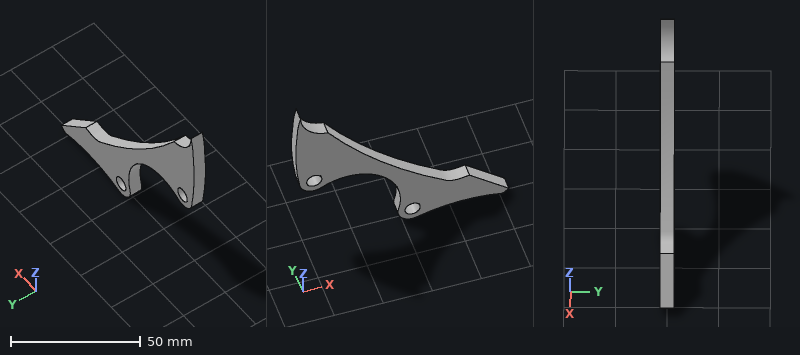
import cadquery as cq
import math

length = 86.9
height = 76.8
thickness = 5.6

lug_radius = 6.0
hole_diameter = 6.2
upper_lug = (7.6, 37.5)
lower_lug = (47.6, lug_radius)

left_edge_radius = 112.8
belly_radius = 21.6
underside_radius = 66.3
back_radius = 176.9
top_hook_radius = 12.4
nook_radius = 7.5
nook_runout_radius = 8.7
tip_edge_radius = 40.9

top_tip = (2.0, height)
tip_edge_start_z = 67.2
back_top = (13.1, 64.25)
back_bottom = (60.7, 18.35)
nook_bottom = (65.55, 16.9)
nook_end = (67.0, 16.95)
nose_peak = (70.85, 17.5)
nose_tip = (length, 3.65)
nose_heel_x = 84.6
underside_center_x = 69.3


def point_towards(start, target, distance):
    """Point at a distance from start along the line to target (negative = away)."""
    ratio = distance / math.dist(start, target)
    return (
        start[0] + ratio * (target[0] - start[0]),
        start[1] + ratio * (target[1] - start[1]),
    )


def belly_center():
    """Center of the arc that touches both lugs from outside, below the line joining them."""
    dx = lower_lug[0] - upper_lug[0]
    dz = lower_lug[1] - upper_lug[1]
    half_span = math.hypot(dx, dz) / 2
    offset = math.sqrt((belly_radius + lug_radius) ** 2 - half_span**2)
    middle_x = (upper_lug[0] + lower_lug[0]) / 2
    middle_z = (upper_lug[1] + lower_lug[1]) / 2
    return (
        middle_x + offset * dz / (2 * half_span),
        middle_z - offset * dx / (2 * half_span),
    )


left_center_rise = math.sqrt(
    (left_edge_radius - lug_radius) ** 2 - (left_edge_radius - upper_lug[0]) ** 2
)
left_center = (left_edge_radius, upper_lug[1] + left_center_rise)
tip_edge_start_x = left_edge_radius - math.sqrt(
    left_edge_radius**2 - (tip_edge_start_z - left_center[1]) ** 2
)
tip_edge_start = (tip_edge_start_x, tip_edge_start_z)

underside_drop = math.sqrt(
    (underside_radius + lug_radius) ** 2 - (underside_center_x - lower_lug[0]) ** 2
)
underside_center = (underside_center_x, lower_lug[1] - underside_drop)
nose_heel_z = underside_center[1] + math.sqrt(
    underside_radius**2 - (nose_heel_x - underside_center_x) ** 2
)
nose_heel = (nose_heel_x, nose_heel_z)

belly = belly_center()
left_to_lug = point_towards(upper_lug, left_center, -lug_radius)
lug_to_belly = point_towards(upper_lug, belly, lug_radius)
belly_to_lug = point_towards(lower_lug, belly, lug_radius)
lug_to_underside = point_towards(lower_lug, underside_center, lug_radius)

upper_lug_bottom = (upper_lug[0], upper_lug[1] - lug_radius)
lower_lug_left = (lower_lug[0] - lug_radius, lower_lug[1])


def make_plate():
    """Plate bounded by the hook, curved back, nose, underside and lugs."""
    return (
        cq.Workplane("XZ")
        .moveTo(*top_tip)
        .radiusArc(back_top, -top_hook_radius)
        .radiusArc(back_bottom, -back_radius)
        .radiusArc(nook_bottom, -nook_radius)
        .radiusArc(nook_end, -nook_runout_radius)
        .lineTo(*nose_peak)
        .lineTo(*nose_tip)
        .lineTo(*nose_heel)
        .radiusArc(lug_to_underside, -underside_radius)
        .threePointArc(lower_lug_left, belly_to_lug)
        .radiusArc(lug_to_belly, -belly_radius)
        .threePointArc(upper_lug_bottom, left_to_lug)
        .radiusArc(tip_edge_start, left_edge_radius)
        .radiusArc(top_tip, tip_edge_radius)
        .close()
        .extrude(thickness / 2, both=True)
    )


def make_lug_holes():
    """Pins that cut a through hole at each lug center."""
    return (
        cq.Workplane("XZ")
        .pushPoints([upper_lug, lower_lug])
        .circle(hole_diameter / 2)
        .extrude(thickness, both=True)
    )


result = make_plate().cut(make_lug_holes())